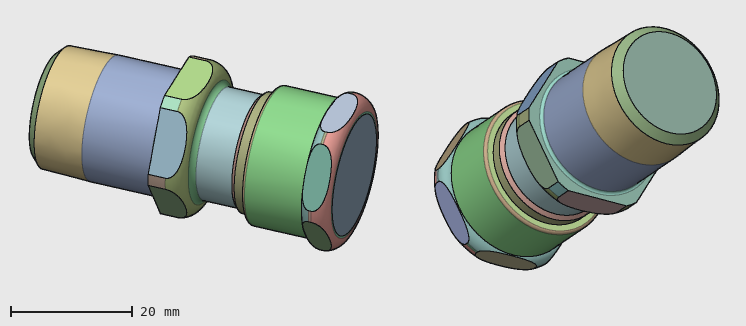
import cadquery as cq
import math

TOTAL_LENGTH = 53.58

HEX_ACROSS_FLATS = 24.0
HEX_CORNER_RADIUS = 26.5 / 2

THREAD_RADIUS = 21.34 / 2
THREAD_CHAMFER = 1.4
TAPER_END_X = 9.85
TAPER_ON_DIAMETER = 1 / 16
THREAD_ROOT_FILLET = 0.5

BODY_HEX_X = 22.45
BODY_HEX_BAND = 3.0
BODY_HEX_ROUND = 3.0
NECK_RADIUS = 19.15 / 2
NECK_FILLET = 1.0
SHANK_RADIUS = 20.51 / 2
SHANK_X = 36.4

NUT_X = 38.3
NUT_SLEEVE_RADIUS = 23.65 / 2
NUT_EDGE_FILLET = 0.5
NUT_HEX_X = 48.75
NUT_HEX_BACK_ROUND = 1.8
NUT_HEX_END_ROUND = 2.6


def revolve_about_x(profile):
    """Close an (x, radius) profile and turn it into a solid around X."""
    return profile.close().revolve(360, (0, 0, 0), (1, 0, 0))


def hex_bar(start_x, end_x):
    """Hexagonal bar along X with two flats facing +Z and -Z."""
    across_corners = HEX_ACROSS_FLATS / math.cos(math.pi / 6)
    return (
        cq.Workplane("YZ", origin=(start_x, 0, 0))
        .polygon(6, across_corners)
        .extrude(end_x - start_x)
    )


def diagonal(radius):
    """Step along each axis from an arc's centre to its 45 degree point."""
    return radius / math.sqrt(2)


def make_thread():
    """Chamfered, tapered and then straight thread, flared into the hexagon face."""
    tip_radius = THREAD_RADIUS - (TAPER_END_X - THREAD_CHAMFER) * TAPER_ON_DIAMETER / 2
    flare_x = BODY_HEX_X - THREAD_ROOT_FILLET
    flare_radius = THREAD_RADIUS + THREAD_ROOT_FILLET
    step = diagonal(THREAD_ROOT_FILLET)
    profile = (
        cq.Workplane("XY")
        .lineTo(0, tip_radius - THREAD_CHAMFER)
        .lineTo(THREAD_CHAMFER, tip_radius)
        .lineTo(TAPER_END_X, THREAD_RADIUS)
        .lineTo(flare_x, THREAD_RADIUS)
        .threePointArc((flare_x + step, flare_radius - step), (BODY_HEX_X, flare_radius))
        .lineTo(BODY_HEX_X, 0)
    )
    return revolve_about_x(profile)


def make_hex_and_neck():
    """Hexagon with a rounded shoulder that blends into the neck and the shank."""
    round_x = BODY_HEX_X + BODY_HEX_BAND
    round_centre_radius = HEX_CORNER_RADIUS - BODY_HEX_ROUND

    fillet_centre_radius = NECK_RADIUS + NECK_FILLET
    rise = fillet_centre_radius - round_centre_radius
    centre_distance = BODY_HEX_ROUND + NECK_FILLET
    neck_x = round_x + math.sqrt(centre_distance**2 - rise**2)
    angle = math.asin(rise / centre_distance)
    tangent_x = round_x + BODY_HEX_ROUND * math.cos(angle)
    tangent_radius = round_centre_radius + BODY_HEX_ROUND * math.sin(angle)

    round_step = diagonal(BODY_HEX_ROUND)
    fillet_step = diagonal(NECK_FILLET)
    shank_chamfer = SHANK_RADIUS - NECK_RADIUS
    profile = (
        cq.Workplane("XY")
        .moveTo(BODY_HEX_X, 0)
        .lineTo(BODY_HEX_X, HEX_CORNER_RADIUS)
        .lineTo(round_x, HEX_CORNER_RADIUS)
        .threePointArc(
            (round_x + round_step, round_centre_radius + round_step),
            (tangent_x, tangent_radius),
        )
        .threePointArc(
            (neck_x - fillet_step, fillet_centre_radius - fillet_step),
            (neck_x, NECK_RADIUS),
        )
        .lineTo(SHANK_X - shank_chamfer, NECK_RADIUS)
        .lineTo(SHANK_X, SHANK_RADIUS)
        .lineTo(TOTAL_LENGTH, SHANK_RADIUS)
        .lineTo(TOTAL_LENGTH, 0)
    )
    return revolve_about_x(profile).intersect(hex_bar(BODY_HEX_X, TOTAL_LENGTH))


def make_adapter():
    """Threaded adapter whose shank runs through the nut."""
    return make_thread().union(make_hex_and_neck())


def make_nut_sleeve():
    """Round sleeve of the nut, with its free edge filleted."""
    return (
        cq.Workplane("YZ", origin=(NUT_X, 0, 0))
        .circle(NUT_SLEEVE_RADIUS)
        .extrude(NUT_HEX_X + NUT_HEX_BACK_ROUND - NUT_X)
        .faces("<X")
        .edges()
        .fillet(NUT_EDGE_FILLET)
    )


def make_nut_hex():
    """Hexagon of the nut, with the corners rounded towards both ends."""
    blank = (
        cq.Workplane("YZ", origin=(NUT_HEX_X, 0, 0))
        .circle(HEX_CORNER_RADIUS)
        .extrude(TOTAL_LENGTH - NUT_HEX_X)
        .faces("<X")
        .edges()
        .fillet(NUT_HEX_BACK_ROUND)
        .faces(">X")
        .edges()
        .fillet(NUT_HEX_END_ROUND)
    )
    return blank.intersect(hex_bar(NUT_HEX_X, TOTAL_LENGTH))


def make_nut():
    """Sleeve and hexagon with a through bore that matches the shank."""
    bore = (
        cq.Workplane("YZ", origin=(NUT_X, 0, 0))
        .circle(SHANK_RADIUS)
        .extrude(TOTAL_LENGTH - NUT_X)
    )
    return make_nut_sleeve().union(make_nut_hex()).cut(bore)


adapter = make_adapter().solids()
nut = make_nut().solids()

result = cq.Compound.makeCompound([adapter.val(), nut.val()])